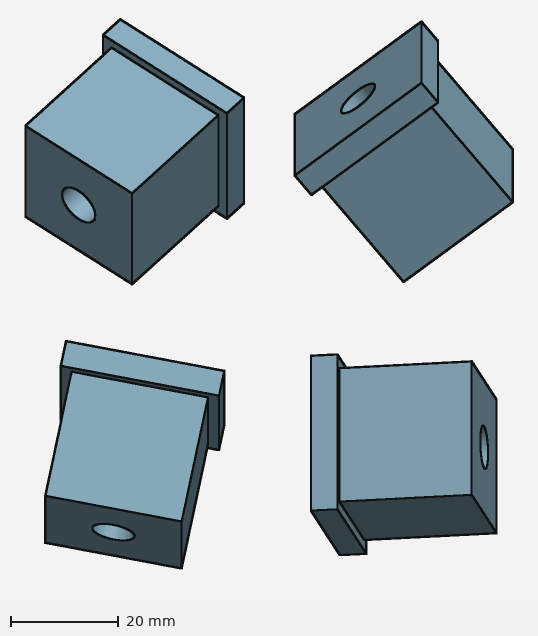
import cadquery as cq

flange_side = 30.0
total_length = 30.0
flange_thickness = 5.0
body_side = 25.85
bore_diameter = 8.0

back_y = total_length / 2
body_length = total_length - flange_thickness


def square_block(side, start_y, length):
    """Square block centred on the Y axis, running from start_y toward -Y."""
    return cq.Workplane("XZ", origin=(0, start_y, 0)).rect(side, side).extrude(length)


flange = square_block(flange_side, back_y, flange_thickness)
body = square_block(body_side, back_y - flange_thickness, body_length)

bore = cq.Workplane("XZ", origin=(0, back_y, 0)).circle(bore_diameter / 2).extrude(total_length)

result = flange.union(body).cut(bore)